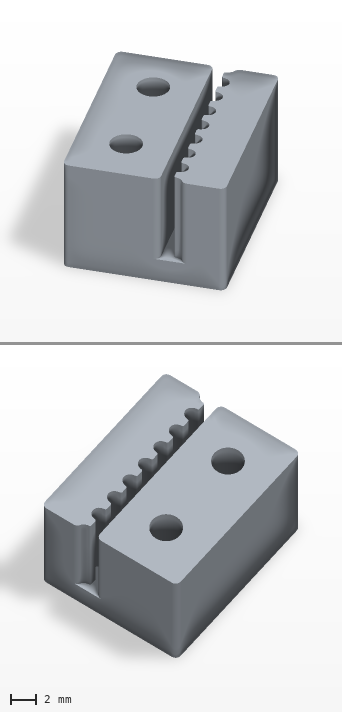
import cadquery as cq
import math

LENGTH_X = 13.0
WIDTH_Y = 16.0
HEIGHT_Z = 9.5
CORNER_RADIUS = 0.5

HOLE_DIAMETER = 2.6
HOLE_X = -LENGTH_X / 2 + 4.0
HOLE_SPACING = WIDTH_Y / 2

SLOT_FLOOR_Z = 2.0
SLOT_LEFT_X = -LENGTH_X / 2 + 7.75
SLOT_GAP = 1.0
TOOTH_TIP_X = SLOT_LEFT_X + SLOT_GAP
SLOT_DEPTH = HEIGHT_Z - SLOT_FLOOR_Z

PITCH = 2.0
GROOVE_DEPTH = 0.79
BOTTOM_RADIUS = 0.575
FLANK_RADIUS = 1.05
FLANK_OFFSET = 0.43
TIP_RADIUS = 0.15
SELECT_MARGIN = 0.1


def point_towards(start, target, distance):
    """Point at the given distance from start on the ray through target."""
    angle = math.atan2(target[1] - start[1], target[0] - start[0])
    return start[0] + distance * math.cos(angle), start[1] + distance * math.sin(angle)


def arc_middle(center, start, end, radius):
    """Middle point of the short arc from start to end about center."""
    chord_middle = ((start[0] + end[0]) / 2, (start[1] + end[1]) / 2)
    return point_towards(center, chord_middle, radius)


def make_groove(center_y):
    """Cutter for one belt groove, made of arcs that are tangent to each other."""
    bottom_center = (GROOVE_DEPTH - BOTTOM_RADIUS, 0.0)
    center_distance = FLANK_RADIUS - BOTTOM_RADIUS
    flank_depth = bottom_center[0] - math.sqrt(center_distance**2 - FLANK_OFFSET**2)
    flank_center = (flank_depth, -FLANK_OFFSET)
    tip_reach = math.sqrt((FLANK_RADIUS + TIP_RADIUS) ** 2 - (TIP_RADIUS - flank_depth) ** 2)
    tip_center = (TIP_RADIUS, tip_reach - FLANK_OFFSET)

    mouth = (0.0, tip_center[1])
    tip_end = point_towards(flank_center, tip_center, FLANK_RADIUS)
    flank_end = point_towards(flank_center, bottom_center, FLANK_RADIUS)
    tip_middle = arc_middle(tip_center, mouth, tip_end, TIP_RADIUS)
    flank_middle = arc_middle(flank_center, tip_end, flank_end, FLANK_RADIUS)

    def mirrored(point):
        return point[0], -point[1]

    return (
        cq.Workplane("XY", origin=(TOOTH_TIP_X, center_y, SLOT_FLOOR_Z))
        .moveTo(*mouth)
        .threePointArc(tip_middle, tip_end)
        .threePointArc(flank_middle, flank_end)
        .threePointArc((GROOVE_DEPTH, 0.0), mirrored(flank_end))
        .threePointArc(mirrored(flank_middle), mirrored(tip_end))
        .threePointArc(mirrored(tip_middle), mirrored(mouth))
        .close()
        .extrude(SLOT_DEPTH)
    )


def make_block():
    """Plain block with rounded vertical corners."""
    block = cq.Workplane("XY").box(LENGTH_X, WIDTH_Y, HEIGHT_Z, centered=(True, True, False))
    return block.edges("|Z").fillet(CORNER_RADIUS)


def cut_belt_slot(body):
    """Cut the straight slot and its row of grooves; the end grooves are halved by the end faces."""
    slot = cq.Workplane("XY").box(SLOT_GAP, WIDTH_Y, SLOT_DEPTH, centered=(False, True, False))
    body = body.cut(slot.translate((SLOT_LEFT_X, 0, SLOT_FLOOR_Z)))
    groove_count = round(WIDTH_Y / PITCH) + 1
    for index in range(groove_count):
        body = body.cut(make_groove(-WIDTH_Y / 2 + index * PITCH))
    return body


def round_slot_ends(body):
    """Round the vertical edges where the slot opens through the two end faces."""
    middle_z = (SLOT_FLOOR_Z + HEIGHT_Z) / 2
    for edge_x in (SLOT_LEFT_X, TOOTH_TIP_X + GROOVE_DEPTH):
        for edge_y in (-WIDTH_Y / 2, WIDTH_Y / 2):
            low = (edge_x - SELECT_MARGIN, edge_y - SELECT_MARGIN, middle_z - SELECT_MARGIN)
            high = (edge_x + SELECT_MARGIN, edge_y + SELECT_MARGIN, middle_z + SELECT_MARGIN)
            body = body.edges(cq.selectors.BoxSelector(low, high)).fillet(CORNER_RADIUS)
    return body


def cut_holes(body):
    """Drill the two through holes."""
    holes = (
        cq.Workplane("XY")
        .pushPoints([(HOLE_X, -HOLE_SPACING / 2), (HOLE_X, HOLE_SPACING / 2)])
        .circle(HOLE_DIAMETER / 2)
        .extrude(HEIGHT_Z)
    )
    return body.cut(holes)


result = cut_holes(round_slot_ends(cut_belt_slot(make_block())))